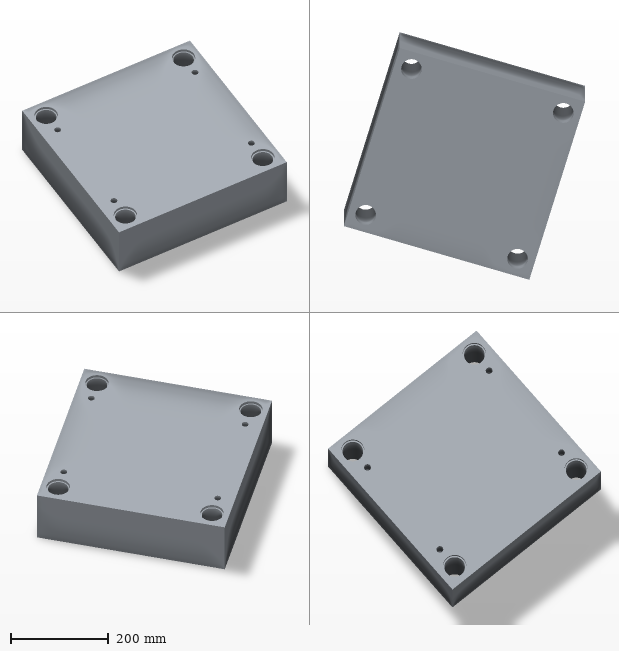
import cadquery as cq
import math

side = 395.7
height = 116.0

corner_pitch = 324.0
corner_diameter = 42.0
counterbore_diameter = 48.0
counterbore_depth = 6.0

drill_pitch_x = 230.3
drill_pitch_y = corner_pitch
drill_diameter = 14.0
drill_depth = 31.5
drill_point_angle = 118.0


def drilled_hole(diameter, depth, point_angle):
    """Blind hole cutter with a conical end, entering downward from Z = 0."""
    radius = diameter / 2
    point_length = radius / math.tan(math.radians(point_angle / 2))
    profile = (
        cq.Workplane("XZ")
        .lineTo(radius, 0)
        .lineTo(radius, -depth)
        .lineTo(0, -depth - point_length)
        .close()
    )
    return profile.revolve(360, (0, 0, 0), (0, 1, 0))


plate = cq.Workplane("XY").box(side, side, height, centered=(True, True, False))

plate = (
    plate.faces(">Z")
    .workplane()
    .rect(corner_pitch, corner_pitch, forConstruction=True)
    .vertices()
    .cboreHole(corner_diameter, counterbore_diameter, counterbore_depth)
)

drill = drilled_hole(drill_diameter, drill_depth, drill_point_angle)
for x_sign in (-1, 1):
    for y_sign in (-1, 1):
        position = (x_sign * drill_pitch_x / 2, y_sign * drill_pitch_y / 2, height)
        plate = plate.cut(drill.translate(position))

result = plate